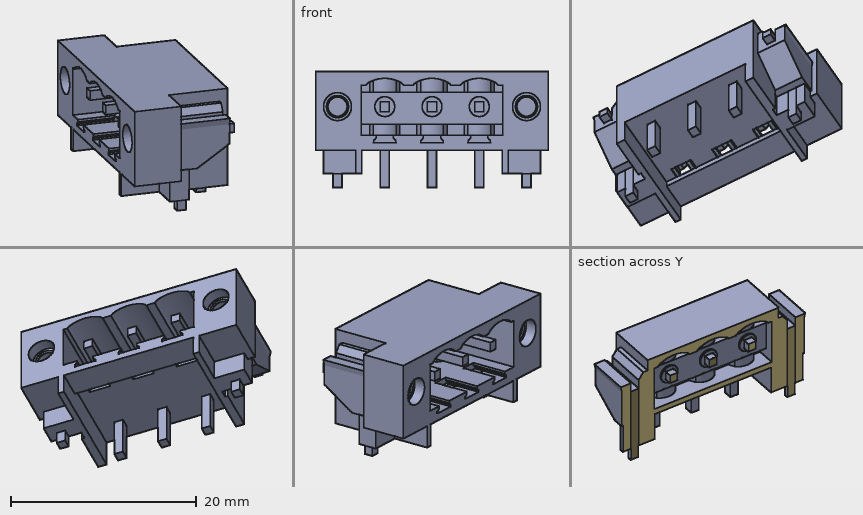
import cadquery as cq


POLES = 3
PITCH = 5.08
CONTACT_WIDTH = 1.0
CONTACT_THICKNESS = 1.07
CONTACT_TIP_Y = 0.9
CONTACT_TAIL_Y = 9.98
TAIL_LENGTH = 1.5
AXIS_Z = 7.2
contact_xs = [(i - (POLES - 1) / 2) * PITCH for i in range(POLES)]

HOUSING_DEPTH = 12.0
HOUSING_HEIGHT = 11.0
BODY_HALF_WIDTH = 8.51
FLANGE_WIDTH = 25.04
FLANGE_DEPTH = 5.3
UNDERSIDE_Z = 2.5
SKIRT_INNER_X = 7.53
SKIRT_OUTER_X = 8.2

POCKET_WIDTH = 15.2
POCKET_DEPTH = 8.2
POCKET_FLOOR_Z = 4.1
POCKET_ROOF_Z = 9.48
SCALLOP_TOP_Z = 10.24
SCALLOP_HALF_WIDTH = 2.06
SCALLOP_SHOULDER_HALF_WIDTH = 1.78
SCALLOP_SHOULDER_Z = POCKET_ROOF_Z + SCALLOP_HALF_WIDTH - SCALLOP_SHOULDER_HALF_WIDTH

BAR_BOTTOM_Z = 5.31
BAR_TOP_Z = 8.73
BAR_FRONT_Y = 7.0
COLLAR_DIAMETER = 2.14
COLLAR_HEIGHT = 0.2

RIB_ROOT_HALF_WIDTH = 1.63
RIB_ARC_HALF_WIDTH = 1.23
RIB_FLANK_DEPTH = 0.7
RIB_ARC_RISE = 0.5
rib_shoulder_y = POCKET_DEPTH - RIB_FLANK_DEPTH

KEY_NECK_HALF_WIDTH = 0.93
KEY_BASE_HALF_WIDTH = 1.2
KEY_NECK_Z = 3.83
KEY_FLARE_Z = 3.54
KEY_BASE_Z = 3.34
KEY_LENGTH = 4.2
RECESS_FRONT_Y = 3.05
RECESS_CEILING_Z = KEY_BASE_Z

INSERT_X = 2 * PITCH
INSERT_DIAMETER = 3.0
INSERT_RECESS = 1.3
BORE_DIAMETER = 2.06
BORE_MOUTH_DIAMETER = 2.38
insert_length = FLANGE_DEPTH - INSERT_RECESS
bore_chamfer = (BORE_MOUTH_DIAMETER - BORE_DIAMETER) / 2

ANCHOR_SIZE = 1.0
ANCHOR_FRONT_Y = 5.5

LUG_TIP_X = 11.99
LUG_SIDE_X = 11.85
LUG_BACK_Y = 11.05
LUG_RIDGE_Z = 9.63
LUG_SHELF_Z = 8.81
LUG_LIP_Z = 8.12
LUG_BACK_BOTTOM_Z = 5.9
LUG_BOTTOM_Z = 3.5
LUG_RIDGE_X = 9.06
LUG_SLOPE_END_Y = 7.34
FOOT_SIDE_X = 11.68
FOOT_FRONT_Y = 4.3
foot_back_y = ANCHOR_FRONT_Y + ANCHOR_SIZE
anchor_inner_x = INSERT_X - ANCHOR_SIZE / 2


def block(x0, x1, y0, y1, z0, z1):
    """Box between two opposite corners."""
    return cq.Workplane("XY").box(x1 - x0, y1 - y0, z1 - z0, centered=False).translate((x0, y0, z0))


def along_y(profile, y0, y1):
    """Extrude an XZ profile from y0 to y1."""
    return profile.extrude(y0 - y1).translate((0, y0, 0))


def mirrored(shape):
    """Copy of a shape on the other side of X = 0."""
    return shape.mirror("YZ")


def make_contact(x):
    """Angled contact: a bar along Y and a tail down through the board."""
    x0 = x - CONTACT_WIDTH / 2
    x1 = x + CONTACT_WIDTH / 2
    top_z = AXIS_Z + CONTACT_THICKNESS / 2
    back_y = CONTACT_TAIL_Y + CONTACT_THICKNESS / 2
    bar = block(x0, x1, CONTACT_TIP_Y, back_y, top_z - CONTACT_THICKNESS, top_z)
    tail = block(x0, x1, back_y - CONTACT_THICKNESS, back_y, -TAIL_LENGTH, top_z)
    return bar.union(tail)


def make_anchor():
    """Solder anchor on the +X side: a leg at the front and a bar running to the back."""
    outer_x = anchor_inner_x + ANCHOR_SIZE
    top_z = AXIS_Z + ANCHOR_SIZE / 2
    bar = block(anchor_inner_x, outer_x, ANCHOR_FRONT_Y, HOUSING_DEPTH, top_z - ANCHOR_SIZE, top_z)
    leg = block(anchor_inner_x, outer_x, ANCHOR_FRONT_Y, foot_back_y, -TAIL_LENGTH, top_z)
    return bar.union(leg)


def make_insert():
    """Bored screw insert on the +X side, chamfered at the mouth of its bore."""
    ring = (
        cq.Workplane("XZ")
        .circle(INSERT_DIAMETER / 2)
        .circle(BORE_DIAMETER / 2)
        .extrude(-insert_length)
        .faces("<Y")
        .edges(cq.selectors.RadiusNthSelector(0))
        .chamfer(bore_chamfer)
    )
    return ring.translate((INSERT_X, INSERT_RECESS, AXIS_Z))


def make_lug():
    """Lug and foot on the +X side, with the slot through which the anchor drops in."""
    profile = cq.Workplane("XZ").polyline([
        (SKIRT_OUTER_X, LUG_BOTTOM_Z),
        (LUG_SIDE_X, LUG_BOTTOM_Z),
        (LUG_SIDE_X, LUG_LIP_Z),
        (LUG_TIP_X, LUG_SHELF_Z),
        (anchor_inner_x, LUG_SHELF_Z),
        (LUG_RIDGE_X, LUG_RIDGE_Z),
        (SKIRT_OUTER_X, LUG_RIDGE_Z),
    ]).close()
    lug = along_y(profile, FLANGE_DEPTH, LUG_BACK_Y)
    undercut = (
        cq.Workplane("YZ")
        .moveTo(LUG_SLOPE_END_Y, LUG_BOTTOM_Z)
        .lineTo(LUG_BACK_Y, LUG_BACK_BOTTOM_Z)
        .lineTo(LUG_BACK_Y, LUG_BOTTOM_Z)
        .close()
        .extrude(LUG_TIP_X)
    )
    foot = block(SKIRT_INNER_X, FOOT_SIDE_X, FOOT_FRONT_Y, foot_back_y, 0, LUG_BOTTOM_Z)
    slot = block(
        anchor_inner_x, anchor_inner_x + ANCHOR_SIZE, ANCHOR_FRONT_Y, HOUSING_DEPTH, AXIS_Z, LUG_SHELF_Z
    )
    return lug.cut(undercut).union(foot).cut(slot)


def make_skirt():
    """Side wall below the body on the +X side, thinner toward the front."""
    front = block(SKIRT_INNER_X, SKIRT_OUTER_X, 0, LUG_SLOPE_END_Y, 0, LUG_BOTTOM_Z)
    back = block(SKIRT_INNER_X, BODY_HALF_WIDTH, LUG_SLOPE_END_Y, HOUSING_DEPTH, 0, LUG_BOTTOM_Z)
    return front.union(back)


def make_scallop(x):
    """Arched relief in the pocket roof above one contact."""
    profile = (
        cq.Workplane("XZ")
        .moveTo(x - SCALLOP_HALF_WIDTH, POCKET_ROOF_Z)
        .lineTo(x - SCALLOP_SHOULDER_HALF_WIDTH, SCALLOP_SHOULDER_Z)
        .threePointArc((x, SCALLOP_TOP_Z), (x + SCALLOP_SHOULDER_HALF_WIDTH, SCALLOP_SHOULDER_Z))
        .lineTo(x + SCALLOP_HALF_WIDTH, POCKET_ROOF_Z)
        .close()
    )
    return along_y(profile, 0, POCKET_DEPTH)


def make_rib(x):
    """Convex upright rib on the pocket's back wall behind one contact."""
    return (
        cq.Workplane("XY", origin=(0, 0, POCKET_FLOOR_Z))
        .moveTo(x - RIB_ROOT_HALF_WIDTH, POCKET_DEPTH)
        .lineTo(x - RIB_ARC_HALF_WIDTH, rib_shoulder_y)
        .threePointArc((x, rib_shoulder_y - RIB_ARC_RISE), (x + RIB_ARC_HALF_WIDTH, rib_shoulder_y))
        .lineTo(x + RIB_ROOT_HALF_WIDTH, POCKET_DEPTH)
        .close()
        .extrude(SCALLOP_TOP_Z - POCKET_FLOOR_Z)
    )


def make_collar(x):
    """Low round collar on the bar around one contact."""
    disc = cq.Workplane("XZ").circle(COLLAR_DIAMETER / 2).extrude(COLLAR_HEIGHT)
    return disc.translate((x, BAR_FRONT_Y, AXIS_Z))


def make_keyway(x):
    """Dovetail keyway in the pocket floor at one contact."""
    half_outline = [
        (KEY_NECK_HALF_WIDTH, POCKET_FLOOR_Z),
        (KEY_NECK_HALF_WIDTH, KEY_NECK_Z),
        (KEY_BASE_HALF_WIDTH, KEY_FLARE_Z),
        (KEY_BASE_HALF_WIDTH, KEY_BASE_Z),
    ]
    right_side = [(x + half_width, z) for half_width, z in half_outline]
    left_side = [(x - half_width, z) for half_width, z in reversed(half_outline)]
    profile = cq.Workplane("XZ").polyline(right_side + left_side).close()
    return along_y(profile, 0, KEY_LENGTH)


def make_housing():
    """Housing with its pocket, lugs, skirts and a matching seat for every inserted body."""
    flange_half_width = FLANGE_WIDTH / 2
    housing = block(
        -BODY_HALF_WIDTH, BODY_HALF_WIDTH, 0, HOUSING_DEPTH, LUG_BOTTOM_Z, HOUSING_HEIGHT
    )
    flange = block(-flange_half_width, flange_half_width, 0, FLANGE_DEPTH, UNDERSIDE_Z, HOUSING_HEIGHT)
    floor = block(-SKIRT_OUTER_X, SKIRT_OUTER_X, 0, HOUSING_DEPTH, UNDERSIDE_Z, LUG_BOTTOM_Z)
    housing = housing.union(flange).union(floor)
    for side in (make_lug(), make_skirt()):
        housing = housing.union(side).union(mirrored(side))

    underside_recess = block(
        -SKIRT_INNER_X, SKIRT_INNER_X, RECESS_FRONT_Y, HOUSING_DEPTH, UNDERSIDE_Z, RECESS_CEILING_Z
    )
    housing = housing.cut(underside_recess)

    half_pocket = POCKET_WIDTH / 2
    pocket = block(-half_pocket, half_pocket, 0, POCKET_DEPTH, POCKET_FLOOR_Z, POCKET_ROOF_Z)
    for x in contact_xs:
        pocket = pocket.union(make_scallop(x))
    for x in contact_xs:
        pocket = pocket.cut(make_rib(x))
    pocket = pocket.cut(
        block(-half_pocket, half_pocket, BAR_FRONT_Y, POCKET_DEPTH, BAR_BOTTOM_Z, BAR_TOP_Z)
    )
    for x in contact_xs:
        pocket = pocket.cut(make_collar(x)).union(make_keyway(x))
    housing = housing.cut(pocket)

    insert_hole = (
        cq.Workplane("XZ")
        .circle(INSERT_DIAMETER / 2)
        .extrude(-FLANGE_DEPTH)
        .translate((INSERT_X, 0, AXIS_Z))
    )
    for seat in (insert_hole, make_anchor()):
        housing = housing.cut(seat).cut(mirrored(seat))
    for x in contact_xs:
        housing = housing.cut(make_contact(x))
    return housing


housing = make_housing()
contacts = [make_contact(x) for x in contact_xs]
anchors = [make_anchor(), mirrored(make_anchor())]
inserts = [make_insert(), mirrored(make_insert())]

bodies = [housing, *contacts, *anchors, *inserts]
result = cq.Compound.makeCompound([body.solids().val() for body in bodies])